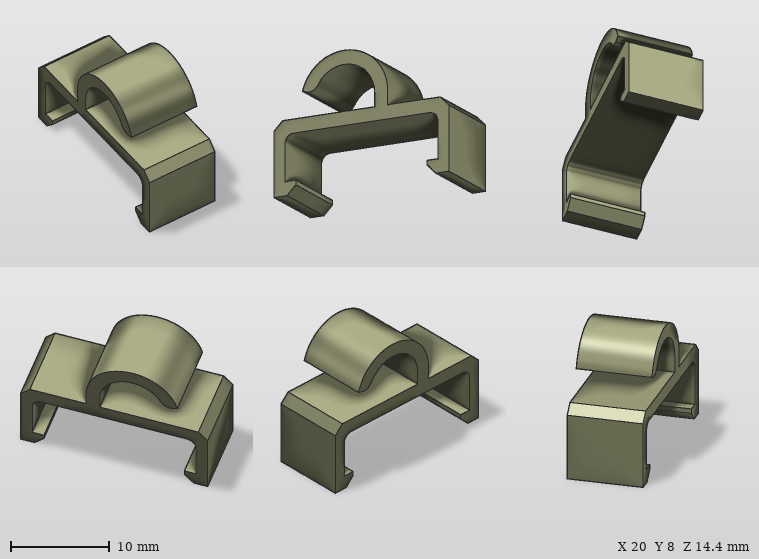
import cadquery as cq
import math

width = 20.0
depth = 8.0
body_height = 8.0
wall = 1.25
roof = 1.5
corner_chamfer = 1.0
inner_fillet = 1.0

lip_reach = 2.5
lip_height = 1.5
lip_chamfer = 1.0

total_height = 14.45
hook_left = -3.0
hook_thickness = 1.5
hook_outer_radius = 4.95
hook_inner_radius = hook_outer_radius - hook_thickness
hook_center_x = hook_left + hook_outer_radius
hook_center_z = total_height - hook_outer_radius
tip_angle = 15.0
mouth_angle = 28.0
tip_round_mid = (5.5, 10.7)
tip_round_end = (6.1, 10.6)


def hook_point(radius, angle):
    """Point on a circle about the hook center, angle in degrees from +X."""
    a = math.radians(angle)
    return (hook_center_x + radius * math.cos(a), hook_center_z + radius * math.sin(a))


def make_body():
    """Chamfered block hollowed from below, leaving walls and a roof."""
    body = cq.Workplane("XY").box(width, depth, body_height, centered=(True, True, False))
    body = body.edges("|Y and >Z").chamfer(corner_chamfer)
    cavity_height = body_height - roof
    cavity = cq.Workplane("XY").box(
        width - 2 * wall, depth, cavity_height, centered=(True, True, False)
    )
    return body.cut(cavity.edges("|Y and >Z").fillet(inner_fillet))


def make_lip(side):
    """Snap lip with a lead-in chamfer; side is -1 (left) or +1 (right)."""
    profile = [
        (width / 2, 0),
        (width / 2 - lip_reach + lip_chamfer, 0),
        (width / 2 - lip_reach, lip_chamfer),
        (width / 2 - lip_reach, lip_height),
        (width / 2, lip_height),
    ]
    points = [(side * x, z) for x, z in profile]
    return cq.Workplane("XZ").polyline(points).close().extrude(depth / 2, both=True)


def make_hook():
    """Straight stem running into an arc that ends in a rounded tip."""
    root_z = body_height - roof / 2
    return (
        cq.Workplane("XZ")
        .moveTo(hook_left, root_z)
        .lineTo(hook_left, hook_center_z)
        .threePointArc(
            hook_point(hook_outer_radius, 90), hook_point(hook_outer_radius, tip_angle)
        )
        .lineTo(*tip_round_end)
        .threePointArc(tip_round_mid, hook_point(hook_inner_radius, mouth_angle))
        .threePointArc(
            hook_point(hook_inner_radius, 90), hook_point(hook_inner_radius, 180)
        )
        .lineTo(hook_left + hook_thickness, root_z)
        .close()
        .extrude(depth / 2, both=True)
    )


result = make_body().union(make_hook())
for side in (-1, 1):
    result = result.union(make_lip(side))